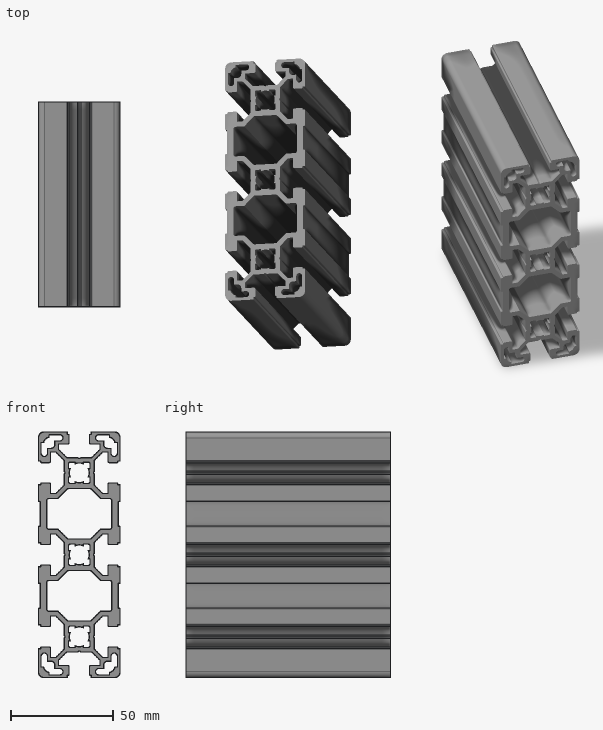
import cadquery as cq
import math

height = 120.0
pitch = height / 3
half_pitch = pitch / 2
length = 2.5 * pitch
corner_radius = 3.0

slot_half_opening = 4.9
notch_half_width = 5.8
notch_depth = 1.2
notch_edge_radius = 0.4
ledge_radius = 0.5
lip_thickness = 6.0
lip_radius = 0.7
pocket_half_width = 10.1
core_half_width = 7.5
web_offset = 1.3
groove_half_width = 0.8
groove_depth = 0.5

channel_half_width = 5.2
channel_radius = 0.7
bore_radius = 4.8
pad_half_width = 2.0

skin = 1.5
arm_width = 3.0
arm_length = 12.0
hollow_size = 8.0
hollow_radius = 1.9
step_position = 5.3
step_depth = 2.6
step_arc_radius = 3.1

chamber_half_width = 15.8
chamber_half_height = 12.2
chamber_shoulder = 7.5
chamber_flat = 5.6
chamber_radius = 1.0
chamber_bend_radius = 0.7

recess_half_height = 6.0
recess_depth = 1.0
recess_edge_radius = 0.5

cell_heights = [-pitch, 0.0, pitch]
chamber_heights = [-half_pitch, half_pitch]


def section_plane():
    """Sketch plane of the section: local x is X, local y is Z."""
    return cq.Workplane("XZ")


def prism(sketch):
    """Extrude a section outline to the full length, centred on Y = 0."""
    return sketch.extrude(length / 2, both=True)


def box(width, tall):
    """Full-length rectangular bar centred on the origin."""
    return prism(section_plane().rect(width, tall))


def mirrored_in_x(body):
    """The body joined with its mirror image across X = 0."""
    return body.union(body.mirror("YZ"))


def make_slot():
    """T-slot opening upward, in a cell centred on the origin."""
    lip_bottom = half_pitch - lip_thickness
    notch_bottom = half_pitch - notch_depth
    half = (
        section_plane()
        .moveTo(0, half_pitch)
        .lineTo(notch_half_width + notch_edge_radius, half_pitch)
        .radiusArc((notch_half_width, half_pitch - notch_edge_radius), -notch_edge_radius)
        .lineTo(notch_half_width, notch_bottom)
        .lineTo(slot_half_opening + ledge_radius, notch_bottom)
        .radiusArc((slot_half_opening, notch_bottom - ledge_radius), -ledge_radius)
        .lineTo(slot_half_opening, lip_bottom + lip_radius)
        .radiusArc((slot_half_opening + lip_radius, lip_bottom), -lip_radius)
        .lineTo(pocket_half_width, lip_bottom)
        .lineTo(pocket_half_width, pocket_half_width + web_offset)
        .lineTo(core_half_width - web_offset, core_half_width)
        .lineTo(groove_half_width, core_half_width)
        .lineTo(0, core_half_width - groove_depth)
        .close()
    )
    return mirrored_in_x(prism(half))


def make_core_channel():
    """Square channel whose walls carry pads trimmed by a round screw bore."""
    side = 2 * channel_half_width
    pad_width = 2 * pad_half_width
    square = box(side, side).edges("|Y").fillet(channel_radius)
    pads = box(pad_width, side).union(box(side, pad_width))
    bore = prism(section_plane().circle(bore_radius))
    return square.cut(pads.cut(bore))


def make_corner_hollow():
    """L-shaped hollow of the corner at +X +Z, drawn from that corner inward."""
    corner = section_plane().center(half_pitch, half_pitch)
    arm_inner = skin + arm_width
    arm_end_radius = arm_width / 2
    arm_straight = arm_length - arm_end_radius
    arm_middle = skin + arm_end_radius
    round_start = hollow_size - hollow_radius
    round_middle = round_start + hollow_radius / math.sqrt(2)
    outline = (
        corner
        .moveTo(-step_position, -skin)
        .lineTo(-arm_straight, -skin)
        .threePointArc((-arm_length, -arm_middle), (-arm_straight, -arm_inner))
        .lineTo(-hollow_size, -arm_inner)
        .lineTo(-hollow_size, -round_start)
        .threePointArc((-round_middle, -round_middle), (-round_start, -hollow_size))
        .lineTo(-arm_inner, -hollow_size)
        .lineTo(-arm_inner, -arm_straight)
        .threePointArc((-arm_middle, -arm_length), (-skin, -arm_straight))
        .lineTo(-skin, -step_position)
        .lineTo(-step_depth, -step_position)
        .radiusArc((-step_position, -step_depth), -step_arc_radius)
        .close()
    )
    return prism(outline)


def make_chamber():
    """Eight-sided chamber with rounded corners and bends, centred on the origin."""
    shoulder_x = chamber_flat + chamber_half_height - chamber_shoulder
    sides = box(2 * chamber_half_width, 2 * chamber_shoulder).edges("|Y").fillet(chamber_radius)
    bay_outline = [
        (-shoulder_x, chamber_shoulder),
        (-chamber_flat, chamber_half_height),
        (chamber_flat, chamber_half_height),
        (shoulder_x, chamber_shoulder),
        (shoulder_x, -chamber_shoulder),
        (chamber_flat, -chamber_half_height),
        (-chamber_flat, -chamber_half_height),
        (-shoulder_x, -chamber_shoulder),
    ]
    bay = prism(section_plane().polyline(bay_outline).close())
    bay = bay.edges("|Y and (>Z or <Z)").fillet(chamber_bend_radius)
    return sides.union(bay)


def make_recesses():
    """Pair of shallow recesses, one in each X face, with rounded rims."""
    rim = recess_half_height + recess_edge_radius
    rim_floor = half_pitch - recess_edge_radius
    floor = half_pitch - recess_depth
    outline = (
        section_plane()
        .moveTo(half_pitch, rim)
        .radiusArc((rim_floor, recess_half_height), recess_edge_radius)
        .lineTo(floor, recess_half_height)
        .lineTo(floor, -recess_half_height)
        .lineTo(rim_floor, -recess_half_height)
        .radiusArc((half_pitch, -rim), recess_edge_radius)
        .close()
    )
    return mirrored_in_x(prism(outline))


body = box(pitch, height).edges("|Y").fillet(corner_radius)

slot = make_slot()
top_slot = slot.translate((0, 0, pitch))
body = body.cut(top_slot).cut(top_slot.mirror("XY"))

side_slots = mirrored_in_x(slot.rotate((0, 0, 0), (0, 1, 0), 90))
core_channel = make_core_channel()
for z in cell_heights:
    body = body.cut(side_slots.translate((0, 0, z)))
    body = body.cut(core_channel.translate((0, 0, z)))

chamber = make_chamber()
recesses = make_recesses()
for z in chamber_heights:
    body = body.cut(chamber.translate((0, 0, z)))
    body = body.cut(recesses.translate((0, 0, z)))

top_hollows = mirrored_in_x(make_corner_hollow().translate((0, 0, pitch)))
body = body.cut(top_hollows).cut(top_hollows.mirror("XY"))

result = body